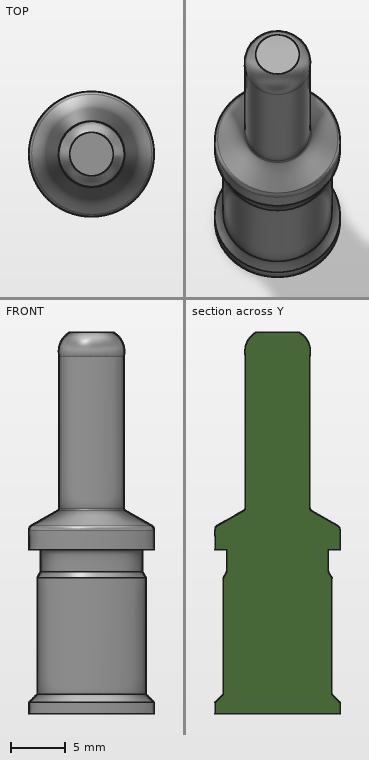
import cadquery as cq

flange_diameter = 11.5
pin_diameter = 6.0

flange_radius = flange_diameter / 2
barrel_radius = 5.0
neck_radius = 4.7
pin_radius = pin_diameter / 2
tip_flat_radius = 2.0

flange_top = 1.05
flange_cone_top = flange_top + flange_radius - barrel_radius
barrel_top = 12.5
neck_bottom = 13.02
collar_bottom = 15.05
shoulder_base = 17.15
pin_base = 18.72
dome_base = 32.8
total_height = 35.0

shoulder_edge_fillet = 0.5
pin_root_fillet = 0.2

dome_width = pin_radius - tip_flat_radius
dome_height = total_height - dome_base
diagonal = 0.5 ** 0.5
dome_middle = (
    tip_flat_radius + dome_width * diagonal,
    dome_base + dome_height * diagonal,
)

profile = (
    cq.Workplane("XZ")
    .lineTo(flange_radius, 0)
    .lineTo(flange_radius, flange_top)
    .lineTo(barrel_radius, flange_cone_top)
    .lineTo(barrel_radius, barrel_top)
    .lineTo(neck_radius, neck_bottom)
    .lineTo(neck_radius, collar_bottom)
    .lineTo(flange_radius, collar_bottom)
    .lineTo(flange_radius, shoulder_base)
    .lineTo(pin_radius, pin_base)
    .lineTo(pin_radius, dome_base)
    .threePointArc(dome_middle, (tip_flat_radius, total_height))
    .lineTo(0, total_height)
    .close()
)
body = profile.revolve(360, (0, 0, 0), (0, 1, 0))


def edge_at(height):
    """Select the circular edges lying at the given height."""
    margin = 0.05
    reach = 2 * flange_radius
    return cq.selectors.BoxSelector(
        (-reach, -reach, height - margin),
        (reach, reach, height + margin),
    )


body = body.edges("%CIRCLE").edges(edge_at(shoulder_base)).fillet(shoulder_edge_fillet)
result = body.edges("%CIRCLE").edges(edge_at(pin_base)).fillet(pin_root_fillet)